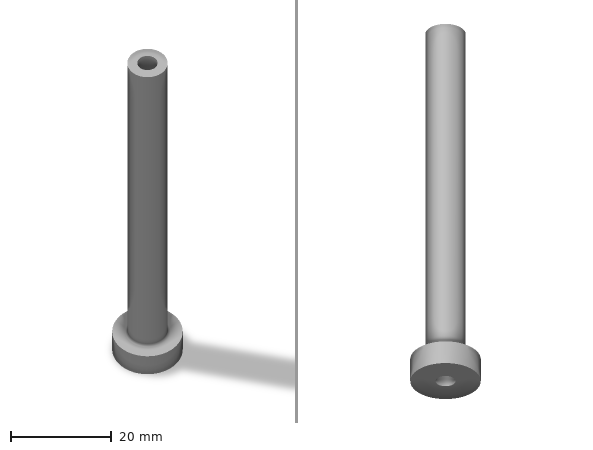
import cadquery as cq

total_length = 80.0
head_diameter = 14.0
head_height = 5.0
shaft_diameter = 8.0
bore_diameter = 4.0
neck_fillet_radius = 0.5


def make_head():
    """Flanged head, resting on the XY plane."""
    return cq.Workplane("XY").circle(head_diameter / 2).extrude(head_height)


def add_shaft(head):
    """Long shaft rising from the head, with a fillet where the two meet."""
    shaft_length = total_length - head_height
    shaft = (
        cq.Workplane("XY")
        .workplane(offset=head_height)
        .circle(shaft_diameter / 2)
        .extrude(shaft_length)
    )
    flange_and_shaft = head.union(shaft)
    neck_circle = flange_and_shaft.edges(cq.selectors.RadiusNthSelector(0)).edges("<Z")
    return neck_circle.fillet(neck_fillet_radius)


def cut_bore(body):
    """Straight bore through the full length."""
    bore = cq.Workplane("XY").circle(bore_diameter / 2).extrude(total_length)
    return body.cut(bore)


result = cut_bore(add_shaft(make_head()))